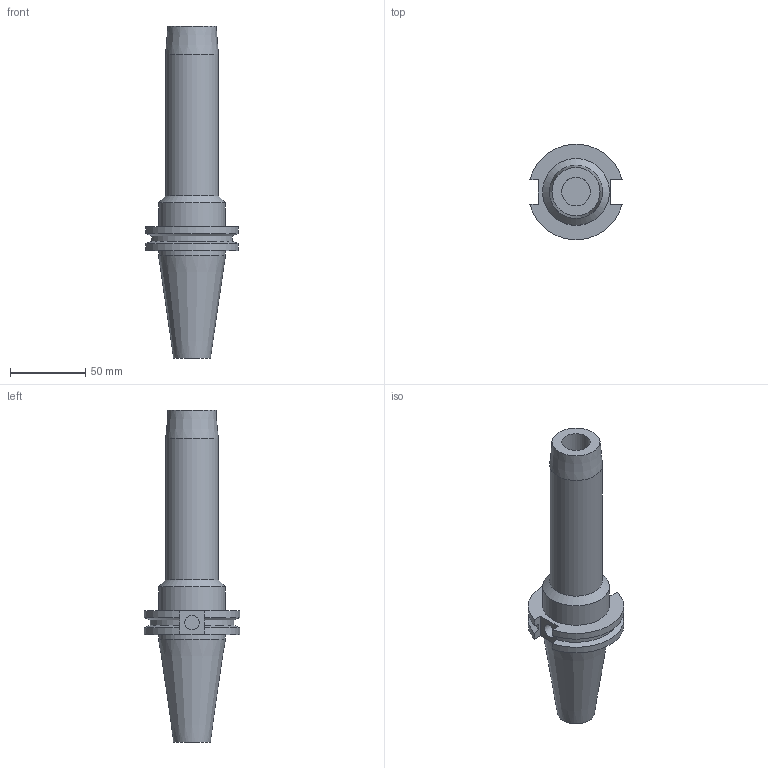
import cadquery as cq


gauge_diameter = 44.45
taper_length = 68.25
taper_ratio = 7 / 24
shank_end_diameter = gauge_diameter - taper_length * taper_ratio

flange_diameter = 63.5
flange_bottom = 3.175
flange_thickness = 15.875
flange_top = flange_bottom + flange_thickness
flange_middle = flange_bottom + flange_thickness / 2
groove_floor_diameter = 56.0
groove_mouth_width = 6.6
groove_floor_width = 3.8

holder_projection = 152.4
neck_diameter = 35.2
collar_diameter = gauge_diameter
collar_chamfer = (collar_diameter - neck_diameter) / 2
collar_top = 39.5
nose_length = 18.8
nose_tip_diameter = 32.0

bore_diameter = 19.05
bore_depth = 50.0

slot_width = 16.38
left_slot_floor = 25.0
right_slot_floor = 22.6

slot_hole_diameter = 9.5
slot_hole_depth = 8.0


def make_body():
    """Revolve the half outline of the holder about the Z axis."""
    groove_mouth_bottom = flange_middle - groove_mouth_width / 2
    groove_mouth_top = flange_middle + groove_mouth_width / 2
    groove_floor_bottom = flange_middle - groove_floor_width / 2
    groove_floor_top = flange_middle + groove_floor_width / 2
    outline = [
        (0, -taper_length),
        (shank_end_diameter / 2, -taper_length),
        (gauge_diameter / 2, 0),
        (gauge_diameter / 2, flange_bottom),
        (flange_diameter / 2, flange_bottom),
        (flange_diameter / 2, groove_mouth_bottom),
        (groove_floor_diameter / 2, groove_floor_bottom),
        (groove_floor_diameter / 2, groove_floor_top),
        (flange_diameter / 2, groove_mouth_top),
        (flange_diameter / 2, flange_top),
        (collar_diameter / 2, flange_top),
        (collar_diameter / 2, collar_top - collar_chamfer),
        (neck_diameter / 2, collar_top),
        (neck_diameter / 2, holder_projection - nose_length),
        (nose_tip_diameter / 2, holder_projection),
        (0, holder_projection),
    ]
    half_section = cq.Workplane("XZ").polyline(outline).close()
    return half_section.revolve(360, (0, 0, 0), (0, 1, 0))


def make_bore():
    """Blind cylinder entering from the nose face."""
    bore_floor = holder_projection - bore_depth
    return cq.Workplane("XY").workplane(offset=bore_floor).circle(bore_diameter / 2).extrude(bore_depth)


def make_slot(side, floor_distance):
    """Drive slot cutter on the +X (side = 1) or -X (side = -1) flank of the flange."""
    length = flange_diameter / 2
    cutter = cq.Workplane("XY").box(length, slot_width, flange_thickness)
    return cutter.translate((side * (floor_distance + length / 2), 0, flange_middle))


def make_slot_hole():
    """Blind radial hole sunk into the left slot floor towards the axis."""
    floor_plane = cq.Plane(origin=(-left_slot_floor, 0, flange_middle), xDir=(0, 1, 0), normal=(1, 0, 0))
    return cq.Workplane(floor_plane).circle(slot_hole_diameter / 2).extrude(slot_hole_depth)


result = make_body()
result = result.cut(make_bore())
result = result.cut(make_slot(-1, left_slot_floor))
result = result.cut(make_slot(1, right_slot_floor))
result = result.cut(make_slot_hole())